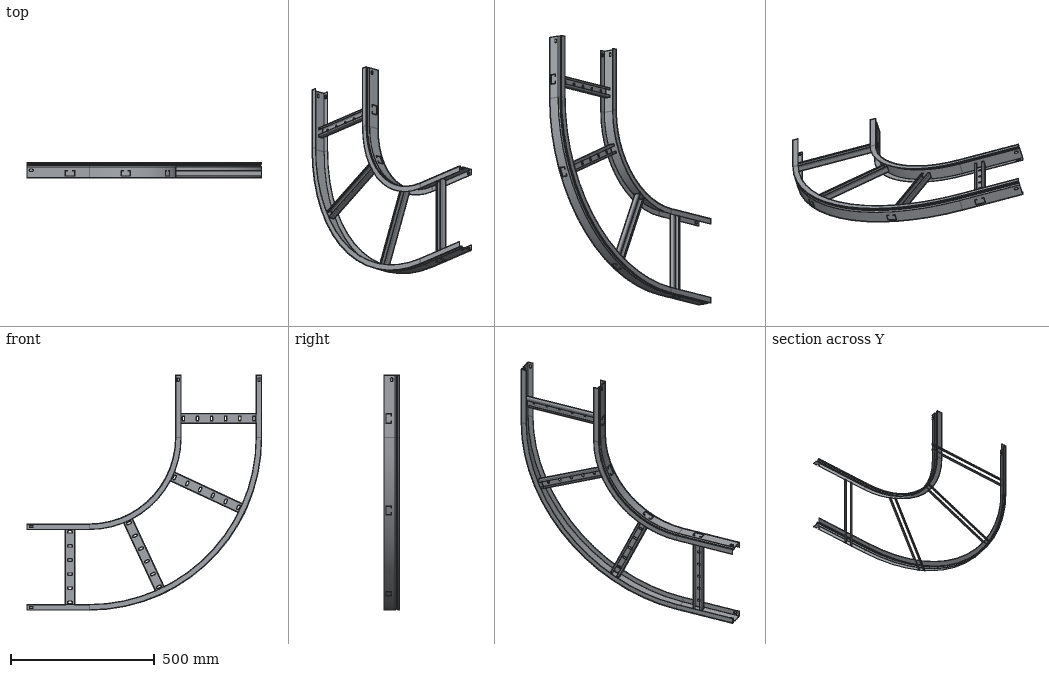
import cadquery as cq

size = 817.0
rail_height = 55.0
sheet = 1.2

inner_radius = 300.0
ladder_width = 300.0
outer_radius = inner_radius + ladder_width
arm_length = size - outer_radius
flange_width = 20.0

groove_depth = 4.0
groove_start = 38.0
groove_floor_start = 43.0
groove_floor_end = 46.5
groove_end = 50.0

end_slot_length = 13.0
end_slot_width = 6.5
end_slot_inset = 15.5

rung_width = 34.0
rung_depth = 20.0
rung_front = 6.5
rung_lip = 8.0
rung_bend = 2.05
rung_inset = 150.0
rung_angles = (25.0, 65.0)

rung_slot_count = 6
rung_slot_pitch = 49.0
rung_slot_length = 16.0
rung_slot_width = 7.0

axis_x = arm_length
axis_z = outer_radius


def about_bend(shape, angle):
    """Turn a shape about the bend axis, from the lower arm towards the upright arm."""
    return shape.rotate((axis_x, 0, axis_z), (axis_x, 1, axis_z), -angle)


def rail_outline(radius, inward):
    """Closed sheet section in the YZ plane; inward is the Z direction of the flanges."""
    points = [
        (0, 0),
        (groove_start, 0),
        (groove_floor_start, groove_depth),
        (groove_floor_end, groove_depth),
        (groove_end, 0),
        (rail_height, 0),
        (rail_height, flange_width),
        (rail_height - sheet, flange_width),
        (rail_height - sheet, sheet),
        (groove_end, sheet),
        (groove_floor_end, groove_depth + sheet),
        (groove_floor_start, groove_depth + sheet),
        (groove_start, sheet),
        (sheet, sheet),
        (sheet, flange_width),
        (0, flange_width),
    ]
    web_z = axis_z - radius
    return [(y, web_z + inward * depth) for y, depth in points]


def end_slots(radius, inward):
    """Cutters for the web slot and the front flange slot at the start of the lower arm."""
    web_z = axis_z - radius
    web_slot = (
        cq.Workplane("XY", origin=(end_slot_inset, rail_height / 2, web_z))
        .slot2D(end_slot_length, end_slot_width)
        .extrude(sheet, both=True)
    )
    flange_slot = (
        cq.Workplane("XZ", origin=(end_slot_inset, 0, web_z + inward * flange_width / 2))
        .slot2D(end_slot_length, end_slot_width)
        .extrude(sheet, both=True)
    )
    return web_slot.union(flange_slot)


def make_rail(radius, inward):
    """Rail of two straight arms and a bend, with its web face at the given bend radius."""
    outline = rail_outline(radius, inward)
    lower_arm = cq.Workplane("YZ").polyline(outline).close().extrude(arm_length)
    lower_arm = lower_arm.cut(end_slots(radius, inward))
    bend = (
        cq.Workplane("YZ", origin=(arm_length, 0, 0))
        .polyline(outline)
        .close()
        .revolve(90, (0, axis_z), (-1, axis_z))
    )
    upright_arm = about_bend(lower_arm.mirror("YZ", (arm_length, 0, 0)), 90)
    return lower_arm.union(bend, clean=False).union(upright_arm, clean=False)


def make_rung():
    """Straight rung below the bend axis, reaching the web faces of both rails."""
    middle_y = rung_front + rung_depth / 2
    blank = (
        cq.Workplane("XY", origin=(axis_x, middle_y, 0))
        .rect(rung_width, rung_depth)
        .extrude(ladder_width)
        .edges("|Z")
        .fillet(rung_bend)
    )
    hollow = (
        cq.Workplane("XY", origin=(axis_x, middle_y, 0))
        .rect(rung_width - 2 * sheet, rung_depth - 2 * sheet)
        .extrude(ladder_width)
        .edges("|Z")
        .fillet(rung_bend - sheet)
    )
    mouth = (
        cq.Workplane("XY", origin=(axis_x, rung_front + rung_depth, 0))
        .rect(rung_width - 2 * rung_lip, rung_depth)
        .extrude(ladder_width)
    )
    slots = (
        cq.Workplane("XZ", origin=(axis_x, rung_front, ladder_width / 2))
        .rarray(8, rung_slot_pitch, 1, rung_slot_count)
        .slot2D(rung_slot_length, rung_slot_width)
        .extrude(sheet, both=True)
    )
    return blank.cut(hollow).cut(mouth).cut(slots)


def make_bend_rung(angle):
    """Rung on the bend, its ends trimmed to the curved web faces."""
    ring = (
        cq.Workplane("XZ", origin=(axis_x, 0, axis_z))
        .circle(outer_radius)
        .circle(inner_radius)
        .extrude(-rail_height)
    )
    return about_bend(make_rung(), angle).intersect(ring)


def make_rungs():
    """All the rungs, from the end of the lower arm to the end of the upright arm."""
    offset = axis_x - rung_inset
    lower_rung = make_rung().translate((-offset, 0, 0))
    bend_rungs = [make_bend_rung(angle) for angle in rung_angles]
    upright_rung = about_bend(make_rung().translate((offset, 0, 0)), 90)
    return [lower_rung, *bend_rungs, upright_rung]


def with_rung_openings(rail, rungs):
    """Cut the openings in the web that the rung ends fill."""
    for rung in rungs:
        rail = rail.cut(rung, clean=False)
    return rail


rungs = make_rungs()
inner_rail = with_rung_openings(make_rail(inner_radius, -1), rungs)
outer_rail = with_rung_openings(make_rail(outer_radius, 1), rungs)

result = cq.Compound.makeCompound([inner_rail.val(), outer_rail.val(), *[rung.val() for rung in rungs]])